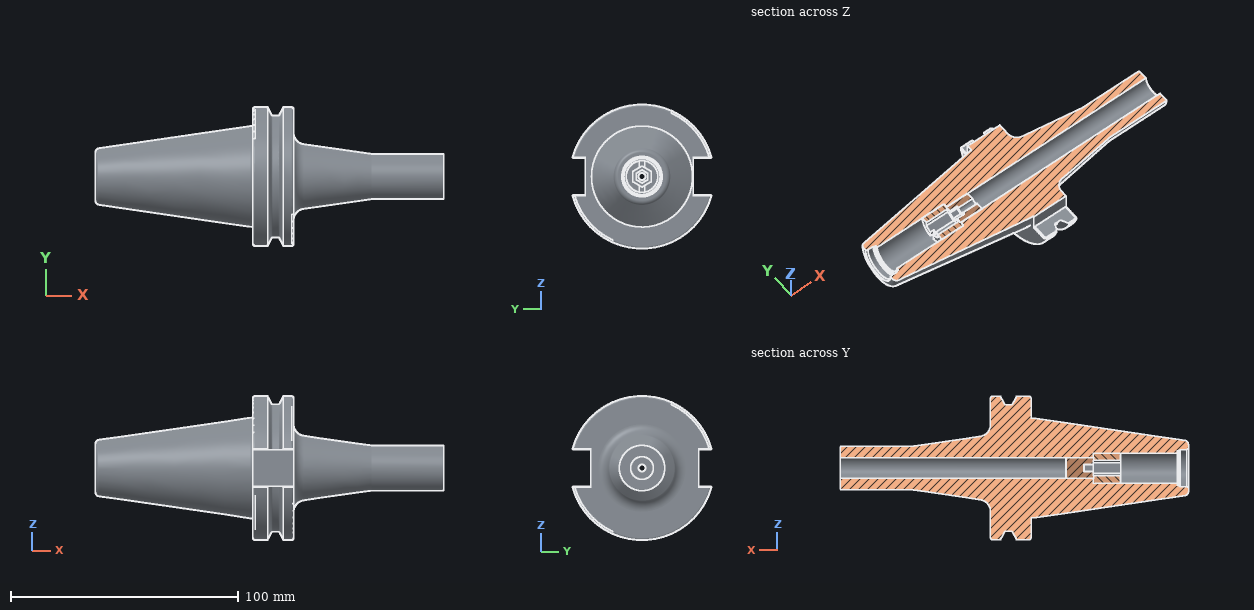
import cadquery as cq
import math


GAUGE_DIAMETER = 44.45
TAPER_LENGTH = 68.25
TAPER_RATE = 7 / 24
SHANK_END_DIAMETER = GAUGE_DIAMETER - TAPER_LENGTH * TAPER_RATE
SHANK_END_FILLET = 2.0

FLANGE_DIAMETER = 63.5
FLANGE_BACK = 1.0
FLANGE_FRONT = 19.05
FLANGE_ROOT_FILLET = 0.3
FLANGE_RIM_FILLET = 1.0
GROOVE_CENTER = 11.0
GROOVE_FLOOR_DIAMETER = 56.1
GROOVE_FLOOR_WIDTH = 3.1
GROOVE_MOUTH_WIDTH = 7.0
GROOVE_FLOOR_FILLET = 0.5

SLOT_WIDTH = 16.1
SLOT_EDGE_CHAMFER = 0.5
SLOT_FLOOR_PLUS_Y = 25.0
SLOT_FLOOR_MINUS_Y = 22.6

NOSE_DIAMETER = 20.0
NOSE_END = 85.0
NOSE_FILLET = 0.5
NECK_END = 53.3
NECK_ROOT_DIAMETER = 29.8
NECK_ROOT_FILLET = 5.0

MOUTH_CHAMFER = 0.5
MOUTH_CHAMFER_DEPTH = 0.9
COUNTERBORE_DIAMETER = 16.78
COUNTERBORE_DEPTH = 3.8
STEP_DIAMETER = 16.28
STEP_DEPTH = 4.3
RECESS_DIAMETER = 15.88
RECESS_DEPTH = 5.0
THREAD_BORE_DIAMETER = 13.9

LOCK_DIAMETER = THREAD_BORE_DIAMETER
LOCK_LENGTH = 12.0
LOCK_DEPTH = 30.0
LOCK_HEX = 8.0
LOCK_SLOT_WIDTH = 2.2
LOCK_SLOT_DEPTH = 2.0

STOP_DIAMETER = 10.0
STOP_LENGTH = 12.0
STOP_HEX = 5.0
STOP_HEX_DEPTH = 4.0
COOLANT_DIAMETER = 3.0

SHANK_END = -TAPER_LENGTH
LOCK_BACK = SHANK_END + LOCK_DEPTH
STOP_BACK = LOCK_BACK + LOCK_LENGTH


def cylinder(diameter, start, end):
    """Cylinder on the X axis between two X positions."""
    return cq.Workplane("YZ", origin=(start, 0, 0)).circle(diameter / 2).extrude(end - start)


def cone(start_diameter, end_diameter, start, end):
    """Truncated cone on the X axis between two X positions."""
    profile = [(start, 0), (start, start_diameter / 2), (end, end_diameter / 2), (end, 0)]
    return cq.Workplane("XY").polyline(profile).close().revolve(360, (0, 0, 0), (1, 0, 0))


def hex_prism(across_flats, start, end):
    """Hexagonal prism on the X axis, with two corners in the XZ plane."""
    corner_diameter = across_flats / math.cos(math.radians(30))
    prism = cq.Workplane("YZ", origin=(start, 0, 0)).polygon(6, corner_diameter).extrude(end - start)
    return prism.rotate((0, 0, 0), (1, 0, 0), 30)


def ring_at(x, diameter):
    """Selector for the circular edge of the given diameter in the plane at x."""
    margin = 0.1
    thin = 0.01

    def slab(half_size):
        low = (x - thin, -half_size, -half_size)
        high = (x + thin, half_size, half_size)
        return cq.selectors.BoxSelector(low, high, boundingbox=True)

    return slab(diameter / 2 + margin) - slab(diameter / 2 - margin)


def make_shank():
    """Taper with a rounded end, and a short cylinder joining it to the flange."""
    taper = cone(SHANK_END_DIAMETER, GAUGE_DIAMETER, SHANK_END, 0)
    taper = taper.faces("<X").edges().fillet(SHANK_END_FILLET)
    return taper.union(cylinder(GAUGE_DIAMETER, 0, FLANGE_BACK))


def make_flange():
    """Disc with rounded rims and a V-groove."""
    flange = cylinder(FLANGE_DIAMETER, FLANGE_BACK, FLANGE_FRONT)
    flange = flange.edges("%CIRCLE").fillet(FLANGE_RIM_FILLET)
    flange = flange.cut(make_groove())
    for side in (-1, 1):
        corner = ring_at(GROOVE_CENTER + side * GROOVE_FLOOR_WIDTH / 2, GROOVE_FLOOR_DIAMETER)
        flange = flange.edges(corner).fillet(GROOVE_FLOOR_FILLET)
    return flange


def make_groove():
    """V-groove with a flat floor around the flange rim."""
    rim = FLANGE_DIAMETER / 2
    floor = GROOVE_FLOOR_DIAMETER / 2
    half_floor = GROOVE_FLOOR_WIDTH / 2
    half_mouth = GROOVE_MOUTH_WIDTH / 2
    profile = [
        (GROOVE_CENTER - half_floor, floor),
        (GROOVE_CENTER - half_mouth, rim),
        (GROOVE_CENTER + half_mouth, rim),
        (GROOVE_CENTER + half_floor, floor),
    ]
    return cq.Workplane("XY").polyline(profile).close().revolve(360, (0, 0, 0), (1, 0, 0))


def make_nose():
    """Conical neck and the cylindrical nose."""
    neck = cone(NECK_ROOT_DIAMETER, NOSE_DIAMETER, FLANGE_FRONT, NECK_END)
    nose = cylinder(NOSE_DIAMETER, NECK_END, NOSE_END).faces(">X").edges().fillet(NOSE_FILLET)
    return neck.union(nose)


def cut_drive_slot(body, side, floor):
    """Slot through the flange on one Y side, its walls chamfered at the flange faces and rim."""
    reach = FLANGE_DIAMETER / 2
    length = FLANGE_FRONT - FLANGE_BACK
    slot = cq.Workplane("XY").box(length, reach, SLOT_WIDTH, centered=(False, False, True))
    slot = slot.translate((FLANGE_BACK, floor, 0))
    body = body.cut(slot if side > 0 else slot.mirror("XZ"))
    wall_edges = [edge for edge in body.edges().vals() if is_slot_rim(edge, side, floor)]
    return body.newObject(wall_edges).chamfer(SLOT_EDGE_CHAMFER)


def is_slot_rim(edge, side, floor):
    """True for slot wall edges outside the V-groove and away from the slot floor."""
    tolerance = 0.01
    box = edge.BoundingBox()
    on_wall = box.zlen < tolerance and abs(abs(box.center.z) - SLOT_WIDTH / 2) < tolerance
    off_floor = side * edge.Center().y > floor + tolerance
    off_groove = abs(edge.Center().x - GROOVE_CENTER) > GROOVE_MOUTH_WIDTH / 2
    return on_wall and off_floor and off_groove


def cut_shank_bore(body):
    """Stepped bore from the shank end, with a chamfered mouth, down to the stop screw."""
    mouth_diameter = COUNTERBORE_DIAMETER + 2 * MOUTH_CHAMFER
    body = body.cut(cone(mouth_diameter, COUNTERBORE_DIAMETER, SHANK_END, SHANK_END + MOUTH_CHAMFER_DEPTH))
    steps = [
        (COUNTERBORE_DIAMETER, COUNTERBORE_DEPTH),
        (STEP_DIAMETER, STEP_DEPTH),
        (RECESS_DIAMETER, RECESS_DEPTH),
        (THREAD_BORE_DIAMETER, STOP_BACK - SHANK_END),
    ]
    for diameter, depth in steps:
        body = body.cut(cylinder(diameter, SHANK_END, SHANK_END + depth))
    return body


def make_holder():
    """Holder body with its slots and its bore, open from end to end."""
    body = make_shank().union(make_flange())
    body = body.edges(ring_at(FLANGE_BACK, GAUGE_DIAMETER)).fillet(FLANGE_ROOT_FILLET)
    body = body.union(make_nose())
    body = body.edges(ring_at(FLANGE_FRONT, NECK_ROOT_DIAMETER)).fillet(NECK_ROOT_FILLET)
    body = cut_drive_slot(body, 1, SLOT_FLOOR_PLUS_Y)
    body = cut_drive_slot(body, -1, SLOT_FLOOR_MINUS_Y)
    body = cut_shank_bore(body)
    return body.cut(cylinder(STOP_DIAMETER, STOP_BACK, NOSE_END))


def make_lock_screw():
    """Hollow screw with a hexagon through it and a cross slot in its back face."""
    screw = cylinder(LOCK_DIAMETER, LOCK_BACK, STOP_BACK)
    screw = screw.cut(hex_prism(LOCK_HEX, LOCK_BACK, STOP_BACK))
    slot_size = (LOCK_SLOT_DEPTH, LOCK_SLOT_WIDTH, LOCK_DIAMETER)
    slot = cq.Workplane("XY").box(*slot_size, centered=(False, True, True))
    return screw.cut(slot.translate((LOCK_BACK, 0, 0)))


def make_stop_screw():
    """Screw with a hexagon socket and a coolant hole."""
    screw = cylinder(STOP_DIAMETER, STOP_BACK, STOP_BACK + STOP_LENGTH)
    screw = screw.cut(hex_prism(STOP_HEX, STOP_BACK, STOP_BACK + STOP_HEX_DEPTH))
    return screw.cut(cylinder(COOLANT_DIAMETER, STOP_BACK, STOP_BACK + STOP_LENGTH))


holder = make_holder()
lock_screw = make_lock_screw()
stop_screw = make_stop_screw()

result = cq.Compound.makeCompound([holder.val(), lock_screw.val(), stop_screw.val()])